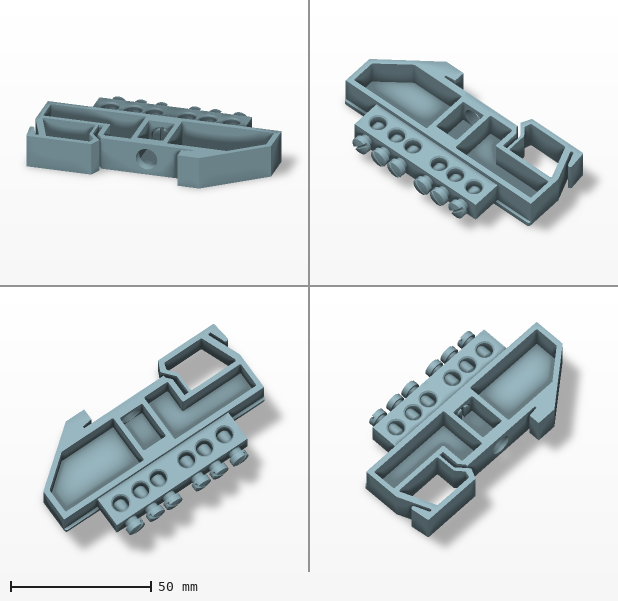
import cadquery as cq
import math

length = 87.0
thickness = 12.0
mid_z = thickness / 2
body_top = 29.9
floor = 1.8
lip = 1.05
rail_face = 5.8
left_wall = 1.8
right_wall = 2.1
pocket_corner = 0.5
lip_corner = 1.0

left_knee = 14.9
relief_left = 23.1
relief_right = 25.0
relief_bend = 8.8
shelf = 16.1
clip_slot_right = (5.1, 2.1)
clip_slot_left = (3.8, 2.1)
clip_tip_right = (1.5, 8.1)
clip_tip_left = (0, 8.1)
foot_heel = (1.0, 0)
foot_toe = (25.1, 0)
foot_nose = (27.1, 4.1)
rail_left = 26.8
relief_exit = 6.7

window_left = 2.2
window_right = 22.1
window_bottom = 2.0
window_bend = 7.8
window_nose = (24.7, 4.6)
window_bottom_left = 7.7
window_bottom_right = 23.9
window_corner = 0.5

hook_left = 57.3
hook_right = 65.3
right_knee = 17.0
rail_undercut_right = 61.4
undercut_inner_y = 5.05
undercut_outer_y = 4.5

bar_center = 44.0
bar_length = 56.9
bar_height = 12.0
bar_thickness = thickness - 2 * floor
bar_top = body_top + bar_height
wire_hole_d = 6.0
wire_hole_chamfer = 0.5
wire_y = body_top + bar_height / 2
terminal_offsets = (6.2, 13.8, 22.5)

head_d = 6.8
mount_slot_width = 1.4
terminal_slot_width = 1.1
slot_depth = 1.7
terminal_shank_d = 5.0
terminal_tip_d = 3.65
terminal_tip_y = 33.75
terminal_tip_length = 0.9
terminal_head_y = 43.85
terminal_rim = 2.3
terminal_dome = 0.5
outer_slot_angle = 45
inner_slot_angle = -45

mount_shank_d = 4.0
mount_head = 2.6
mount_head_proud = 0.4
mount_head_round = 0.35
mount_slot_angle = 90
mount_reach = 5.2
driver_hole_d = 8.0

center_pocket_width = 9.75
center_pocket_bottom = 10.0
center_pocket_top = 25.0
side_pocket_bottom = 8.5
side_pocket_top = 27.8
pocket_ledge = 17.9
pocket_step = 27.0
right_slope_start = 73.1
web = 1.8
center_left = bar_center - center_pocket_width / 2
center_right = bar_center + center_pocket_width / 2

mount_head_face = center_pocket_top - mount_head_proud
mount_head_back = mount_head_face + mount_head

terminal_x = [bar_center + side * offset for side in (-1, 1) for offset in terminal_offsets]


def prism(points, z_from, z_to):
    """Closed polygon extruded between two Z levels."""
    return cq.Workplane("XY").workplane(offset=z_from).polyline(points).close().extrude(z_to - z_from)


def cylinder_y(x, y_from, y_to, diameter):
    """Cylinder along Y, centred on mid thickness."""
    return cq.Workplane("XZ", origin=(x, y_from, mid_z)).circle(diameter / 2).extrude(y_from - y_to)


def slot_cutter(x, y_top, width, angle):
    """Screwdriver slot cut downwards along -Y, turned about the screw axis."""
    blade = cq.Workplane("XY").box(2 * head_d, 2 * slot_depth, width)
    return blade.rotate((0, 0, 0), (0, 1, 0), angle).translate((x, y_top, mid_z))


def make_outline():
    """Outer block of the housing with its left foot, rail notch and right hook."""
    outline = [
        (0, body_top),
        (0, left_knee),
        clip_slot_right,
        clip_slot_left,
        clip_tip_right,
        clip_tip_left,
        foot_heel,
        foot_toe,
        foot_nose,
        (relief_left, relief_bend),
        (relief_left, shelf),
        (relief_right, shelf),
        (relief_right, relief_bend),
        (rail_left, relief_exit),
        (rail_left, rail_face),
        (rail_undercut_right, rail_face),
        (rail_undercut_right, undercut_inner_y),
        (hook_left, undercut_outer_y),
        (hook_left, 0),
        (hook_right, 0),
        (length, right_knee),
        (length, body_top),
    ]
    corner_radii = {
        foot_heel: 0.4,
        foot_toe: 0.3,
        clip_tip_left: 0.8,
        clip_tip_right: 0.7,
        clip_slot_left: 0.4,
        clip_slot_right: 0.4,
    }
    block = prism(outline, 0, thickness)
    pick_margin = 0.1
    for corner, radius in corner_radii.items():
        near_corner = cq.selectors.BoxSelector(
            (corner[0] - pick_margin, corner[1] - pick_margin, -pick_margin),
            (corner[0] + pick_margin, corner[1] + pick_margin, thickness + pick_margin),
        )
        block = block.edges(near_corner).fillet(radius)
    return block


def make_lip():
    """Low strip along the top edge that the bar rests on."""
    strip = cq.Workplane("XY").box(length, lip, floor, centered=False).translate((0, body_top, 0))
    return strip.edges("|Z and >Y").fillet(lip_corner)


def make_foot_window():
    """Through opening between the foot and the left pocket."""
    window = [
        (window_left, shelf),
        (window_right, shelf),
        (window_right, window_bend),
        window_nose,
        (window_bottom_right, window_bottom),
        (window_bottom_left, window_bottom),
    ]
    return prism(window, 0, thickness).edges("|Z").fillet(window_corner)


def make_pockets():
    """Three blind pockets, open towards +Z."""
    left_pocket = [
        (left_wall, side_pocket_top),
        (center_left - web, side_pocket_top),
        (center_left - web, side_pocket_bottom),
        (pocket_step, side_pocket_bottom),
        (pocket_step, pocket_ledge),
        (left_wall, pocket_ledge),
    ]
    right_pocket = [
        (center_right + web, side_pocket_top),
        (length - right_wall, side_pocket_top),
        (length - right_wall, pocket_ledge),
        (right_slope_start, side_pocket_bottom),
        (center_right + web, side_pocket_bottom),
    ]
    center_pocket = [
        (center_left, center_pocket_top),
        (center_right, center_pocket_top),
        (center_right, center_pocket_bottom),
        (center_left, center_pocket_bottom),
    ]
    pockets = [
        prism(points, floor, thickness).edges("|Z").fillet(pocket_corner)
        for points in (left_pocket, right_pocket, center_pocket)
    ]
    return pockets[0].union(pockets[1]).union(pockets[2])


def make_mounting_screw():
    """Slotted screw that holds the bar on the housing; head in the centre pocket."""
    head = cylinder_y(bar_center, mount_head_face, mount_head_back, head_d).faces("<Y").fillet(mount_head_round)
    shank = cylinder_y(bar_center, mount_head_back, body_top + mount_reach, mount_shank_d)
    return head.union(shank).cut(slot_cutter(bar_center, mount_head_face, mount_slot_width, mount_slot_angle))


def make_housing():
    """Rail-mount base with a driver hole and a seat for the mounting screw."""
    housing = make_outline().union(make_lip()).cut(make_foot_window()).cut(make_pockets())
    housing = housing.cut(cylinder_y(bar_center, 0, center_pocket_bottom, driver_hole_d))
    housing = housing.cut(cylinder_y(bar_center, center_pocket_top, mount_head_back, driver_hole_d))
    return housing.cut(cylinder_y(bar_center, mount_head_back, body_top, mount_shank_d))


def make_bar():
    """Terminal bar with wire holes along Z and screw holes along Y."""
    bar = cq.Workplane("XY").box(bar_length, bar_height, bar_thickness).translate((bar_center, wire_y, mid_z))
    wire_points = [(x - bar_center, 0) for x in terminal_x]
    bar = bar.faces(">Z").workplane(origin=(bar_center, wire_y, 0)).pushPoints(wire_points).hole(wire_hole_d)
    bar = bar.faces(">Z").edges("%CIRCLE").chamfer(wire_hole_chamfer)
    for x in terminal_x:
        bar = bar.cut(cylinder_y(x, wire_y, bar_top, terminal_shank_d))
    return bar.cut(cylinder_y(bar_center, body_top, body_top + mount_reach, mount_shank_d))


def make_terminal_screw(x, slot_angle):
    """Clamping screw turned about its own axis, with a domed slotted head."""
    rim_y = terminal_head_y + terminal_rim
    dome_radius = ((head_d / 2) ** 2 + terminal_dome ** 2) / (2 * terminal_dome)
    mid_radius = head_d / 4
    mid_drop = dome_radius - math.sqrt(dome_radius ** 2 - mid_radius ** 2)
    dome_top = rim_y + terminal_dome
    screw = (
        cq.Workplane("XY")
        .moveTo(0, terminal_tip_y)
        .lineTo(terminal_tip_d / 2, terminal_tip_y)
        .lineTo(terminal_shank_d / 2, terminal_tip_y + terminal_tip_length)
        .lineTo(terminal_shank_d / 2, terminal_head_y)
        .lineTo(head_d / 2, terminal_head_y)
        .lineTo(head_d / 2, rim_y)
        .threePointArc((mid_radius, dome_top - mid_drop), (0, dome_top))
        .close()
        .revolve(360, (0, 0, 0), (0, 1, 0))
        .translate((x, 0, mid_z))
    )
    return screw.cut(slot_cutter(x, dome_top, terminal_slot_width, slot_angle))


housing = make_housing()
terminal_bar = make_bar()
mounting_screw = make_mounting_screw()
terminal_screws = []
for x in terminal_x:
    is_outermost = x in (min(terminal_x), max(terminal_x))
    slot_angle = outer_slot_angle if is_outermost else inner_slot_angle
    terminal_screws.append(make_terminal_screw(x, slot_angle))

result = cq.Compound.makeCompound([
    housing.val(),
    terminal_bar.val(),
    mounting_screw.val(),
    *[screw.val() for screw in terminal_screws],
])